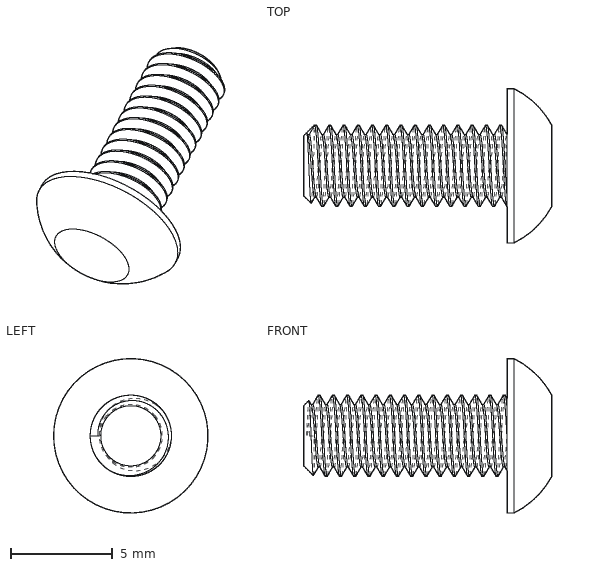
import cadquery as cq
import math


shank_length = 10.0
shank_diameter = 4.0
shank_radius = shank_diameter / 2
pitch = 0.7
half_flank_angle = math.radians(30)
thread_depth = 0.75 * pitch * math.cos(half_flank_angle)
root_radius = shank_radius - thread_depth
crest_flat = pitch / 8
tip_radius = 1.48
tip_chamfer = shank_radius - tip_radius

groove_start = -shank_length + pitch / 3
groove_turns = 15
cutter_clearance = 0.05
flank_widening = math.tan(half_flank_angle)
root_half_width = (pitch - crest_flat) / 2 - thread_depth * flank_widening

head_diameter = 7.6
head_radius = head_diameter / 2
head_height = 2.2
rim_thickness = 0.34
end_face_radius = 2.0


def make_shank():
    """Plain shank with a 45 degree chamfer at its free end."""
    return (
        cq.Workplane("YZ")
        .circle(shank_radius)
        .extrude(-shank_length)
        .faces("<X")
        .chamfer(tip_chamfer)
        .rotate((0, 0, 0), (1, 0, 0), -90)
    )


def make_groove():
    """Right-hand helical cutter with a 60 degree V section and a narrow flat root."""
    outer_radius = shank_radius + cutter_clearance
    outer_half_width = root_half_width + (outer_radius - root_radius) * flank_widening
    helix = cq.Wire.makeHelix(pitch, groove_turns * pitch, root_radius)
    groove = (
        cq.Workplane("XZ")
        .moveTo(root_radius, -root_half_width)
        .lineTo(root_radius, root_half_width)
        .lineTo(outer_radius, outer_half_width)
        .lineTo(outer_radius, -outer_half_width)
        .close()
        .sweep(cq.Workplane(obj=helix), isFrenet=True)
    )
    return (
        groove.rotate((0, 0, 0), (1, 1, 1), 120)
        .translate((groove_start, 0, 0))
    )


def make_head():
    """Thin cylindrical rim under a spherical dome cut off by a flat end face."""
    dome_centre = (
        head_height**2 + end_face_radius**2 - rim_thickness**2 - head_radius**2
    ) / (2 * (head_height - rim_thickness))
    dome_radius = math.hypot(head_radius, rim_thickness - dome_centre)
    middle_x = (rim_thickness + head_height) / 2
    middle_radius = math.sqrt(dome_radius**2 - (middle_x - dome_centre) ** 2)
    return (
        cq.Workplane("XY")
        .lineTo(0, head_radius)
        .lineTo(rim_thickness, head_radius)
        .threePointArc((middle_x, middle_radius), (head_height, end_face_radius))
        .lineTo(head_height, 0)
        .close()
        .revolve(360, (0, 0, 0), (1, 0, 0))
    )


result = make_shank().cut(make_groove()).union(make_head())